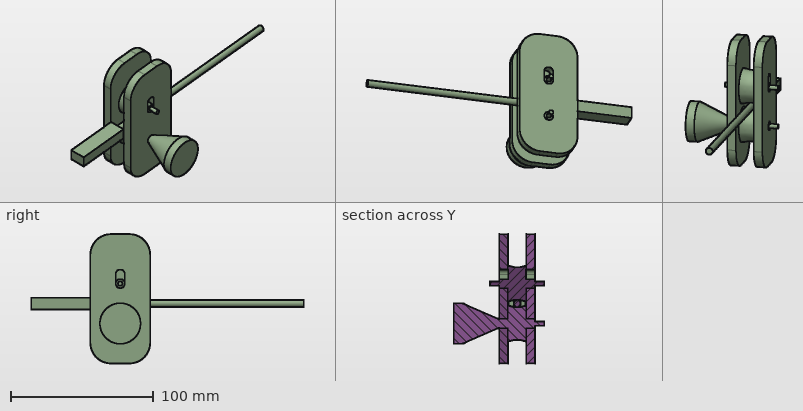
import cadquery as cq


unit = 6.35
pin_diameter = 3.17
axle_diameter = 6.35
roller_diameter = 25.4
rod_diameter = 5.0
knob_diameter = 28.57

plate_thickness = unit
plate_gap = 2 * unit
plate_width = 42.2
plate_height = 90.94
plate_corner_radius = 14.75
slot_travel = 6.7

roller_spacing = 28.0
groove_floor_radius = (roller_spacing - rod_diameter) / 2
pin_length = unit

cone_length = 4 * unit
rim_length = unit

overall_length = 191.5
rod_length = 150.0
bar_length = overall_length - rod_length
bar_width = 11.8
bar_height = 8.4

inner_face = plate_gap / 2
outer_face = inner_face + plate_thickness
hole_spacing = roller_spacing + slot_travel
lower_axle_z = -hole_spacing / 2
upper_axle_z = lower_axle_z + roller_spacing
rod_z = lower_axle_z + roller_spacing / 2
rod_front_y = -plate_width / 2


def make_plate(start_x):
    """Side plate with a round hole for the lower axle and an upright slot for the upper one."""
    plate = (
        cq.Workplane("YZ", origin=(start_x, 0, 0))
        .rect(plate_width, plate_height)
        .extrude(plate_thickness)
        .edges("|X")
        .fillet(plate_corner_radius)
    )
    hole = (
        cq.Workplane("YZ", origin=(start_x, 0, lower_axle_z))
        .circle(axle_diameter / 2)
        .extrude(plate_thickness)
    )
    slot = (
        cq.Workplane("YZ", origin=(start_x, 0, upper_axle_z + slot_travel / 2))
        .slot2D(slot_travel + axle_diameter, axle_diameter, 90)
        .extrude(plate_thickness)
    )
    return plate.cut(hole).cut(slot)


def start_roller_profile():
    """Half profile from the left pin to the right end of the axle, with the concave groove between."""
    pin_radius = pin_diameter / 2
    axle_radius = axle_diameter / 2
    roller_radius = roller_diameter / 2
    return (
        cq.Workplane("XY")
        .moveTo(-outer_face - pin_length, 0)
        .lineTo(-outer_face - pin_length, pin_radius)
        .lineTo(-outer_face, pin_radius)
        .lineTo(-outer_face, axle_radius)
        .lineTo(-inner_face, axle_radius)
        .lineTo(-inner_face, roller_radius)
        .threePointArc((0, groove_floor_radius), (inner_face, roller_radius))
        .lineTo(inner_face, axle_radius)
        .lineTo(outer_face, axle_radius)
    )


def revolve_about_axle(profile, axle_z):
    """Turn a closed half profile about the X axis and lift it to its axle height."""
    return profile.close().revolve(360, (0, 0, 0), (1, 0, 0)).translate((0, 0, axle_z))


def make_upper_roller():
    """Roller with a thin pin at both ends of its axle."""
    profile = (
        start_roller_profile()
        .lineTo(outer_face, pin_diameter / 2)
        .lineTo(outer_face + pin_length, pin_diameter / 2)
        .lineTo(outer_face + pin_length, 0)
    )
    return revolve_about_axle(profile, upper_axle_z)


def make_lower_roller():
    """Roller whose right axle end flares into a conical knob with a straight rim."""
    rim_start = outer_face + cone_length
    profile = (
        start_roller_profile()
        .lineTo(rim_start, knob_diameter / 2)
        .lineTo(rim_start + rim_length, knob_diameter / 2)
        .lineTo(rim_start + rim_length, 0)
    )
    return revolve_about_axle(profile, lower_axle_z)


def make_rod():
    """Round rod running back between the rollers from the plates' front edges."""
    return (
        cq.Workplane("XZ", origin=(0, rod_front_y, rod_z))
        .circle(rod_diameter / 2)
        .extrude(-rod_length)
    )


def make_bar():
    """Rectangular bar butting against the front end of the rod."""
    return (
        cq.Workplane("XZ", origin=(0, rod_front_y, rod_z))
        .rect(bar_width, bar_height)
        .extrude(bar_length)
    )


plates = [make_plate(start_x) for start_x in (-outer_face, inner_face)]
upper_roller = make_upper_roller()
lower_roller = make_lower_roller()
rod = make_rod()
bar = make_bar()

result = cq.Compound.makeCompound(
    [
        *[plate.val() for plate in plates],
        upper_roller.val(),
        lower_roller.val(),
        rod.val(),
        bar.val(),
    ]
)